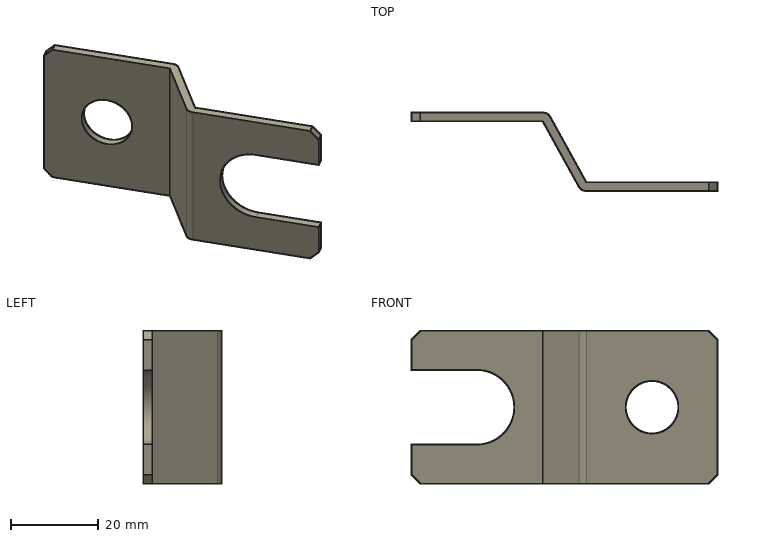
import cadquery as cq
import math

length = 70.0
depth = 18.0
height = 35.0
thickness = 2.0

bend_span = 10.0

corner_chamfer = 2.0
slot_width = 17.0
hole_diameter = 12.0
end_distance = 15.0

inner_rise = depth - 2 * thickness
inner_diagonal = math.hypot(bend_span, inner_rise)
web_angle = math.atan2(inner_rise, bend_span) + math.asin(thickness / inner_diagonal)

half_length = length / 2
half_depth = depth / 2
front_inner_corner = (bend_span / 2, -inner_rise / 2)


def front_bend_point(angle):
    """Point on the outer round of the front bend; angle 0 is on the front plate."""
    return (
        front_inner_corner[0] - thickness * math.sin(angle),
        front_inner_corner[1] - thickness * math.cos(angle),
    )


def opposite(point):
    """Turn a point of the strip section half a turn about the centre."""
    return (-point[0], -point[1])


def bent_strip():
    """Z-shaped section with sharp inner and rounded outer bends."""
    web_tangent = front_bend_point(web_angle)
    round_middle = front_bend_point(web_angle / 2)
    plate_tangent = front_bend_point(0)
    return (
        cq.Workplane("XY")
        .workplane(offset=-height / 2)
        .moveTo(*opposite(front_inner_corner))
        .lineTo(*web_tangent)
        .threePointArc(round_middle, plate_tangent)
        .lineTo(half_length, -half_depth)
        .lineTo(half_length, -half_depth + thickness)
        .lineTo(*front_inner_corner)
        .lineTo(*opposite(web_tangent))
        .threePointArc(opposite(round_middle), opposite(plate_tangent))
        .lineTo(-half_length, half_depth)
        .lineTo(-half_length, half_depth - thickness)
        .close()
        .extrude(height)
    )


def through_cutter(sketch):
    """Extend an XZ outline through the whole depth."""
    return sketch.extrude(depth, both=True)


def open_slot():
    """Slot open at the left end, closed by a half round."""
    slot_center = -half_length + end_distance
    radius = slot_width / 2
    outline = (
        cq.Workplane("XZ")
        .moveTo(-half_length, -radius)
        .lineTo(slot_center, -radius)
        .threePointArc((slot_center + radius, 0), (slot_center, radius))
        .lineTo(-half_length, radius)
        .close()
    )
    return through_cutter(outline)


def round_hole():
    hole_center = half_length - end_distance
    return through_cutter(cq.Workplane("XZ").center(hole_center, 0).circle(hole_diameter / 2))


strip = bent_strip().faces("<X or >X").edges("|Y").chamfer(corner_chamfer)
result = strip.cut(open_slot()).cut(round_hole())